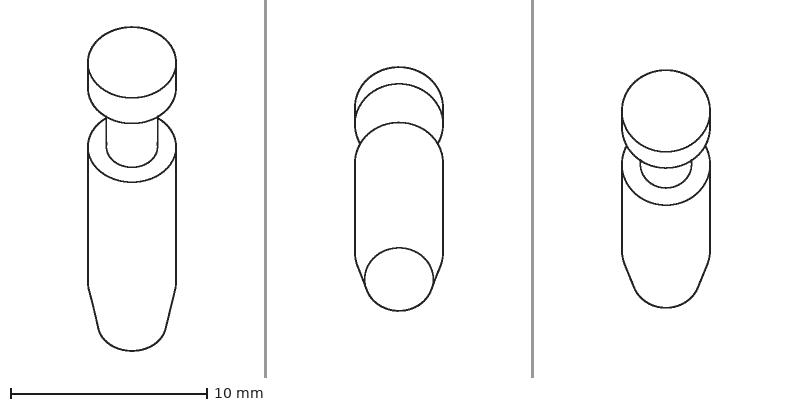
import cadquery as cq
import math

total_length = 22.3
body_radius = 4.5 / 2
neck_radius = 2.6 / 2
tip_radius = 3.5 / 2
taper_length = 3.5
shoulder_height = 15.1
head_thickness = 2.19
cone_small_radius = 3.0 / 2
cone_height = 0.5

cone_width = body_radius - cone_small_radius
cone_angle = math.atan2(cone_height, cone_width)
blend_radius = (cone_small_radius - neck_radius) / (1 - math.sin(cone_angle))
blend_height = blend_radius * math.cos(cone_angle)

head_bottom = total_length - head_thickness
cone_bottom = head_bottom - cone_height
blend_bottom = cone_bottom - blend_height

profile = (
    cq.Workplane("XZ")
    .lineTo(tip_radius, 0)
    .lineTo(body_radius, taper_length)
    .lineTo(body_radius, shoulder_height)
    .lineTo(neck_radius, shoulder_height)
    .lineTo(neck_radius, blend_bottom)
    .tangentArcPoint((cone_small_radius, cone_bottom), relative=False)
    .lineTo(body_radius, head_bottom)
    .lineTo(body_radius, total_length)
    .lineTo(0, total_length)
    .close()
)
result = profile.revolve(360, (0, 0, 0), (0, 1, 0))